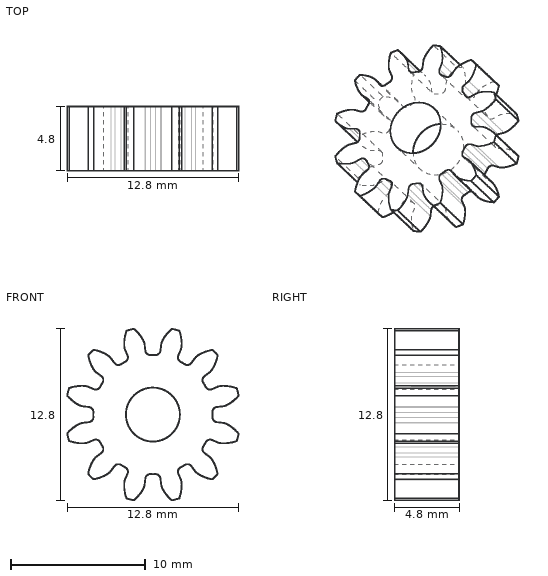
import cadquery as cq
import math

outer_width = 12.76
face_width = 4.8
bore_diameter = 4.0
tooth_count = 12
pressure_angle = math.radians(20)
addendum_factor = 1.0
dedendum_factor = 1.25
root_fillet_radius = 0.36
flank_samples = 7


def involute(angle):
    """Polar angle swept by an involute at the given pressure angle."""
    return math.tan(angle) - angle


tooth_pitch = 2 * math.pi / tooth_count
base_half_angle = tooth_pitch / 4 + involute(pressure_angle)
tip_pressure_angle = math.acos(
    tooth_count * math.cos(pressure_angle) / (tooth_count + 2 * addendum_factor)
)
tip_half_angle = base_half_angle - involute(tip_pressure_angle)

tip_radius = outer_width / 2 / math.cos(tooth_pitch / 2 - tip_half_angle)
module = tip_radius / (tooth_count / 2 + addendum_factor)
pitch_radius = module * tooth_count / 2
base_radius = pitch_radius * math.cos(pressure_angle)
root_radius = pitch_radius - dedendum_factor * module


def polar(radius, angle):
    return (radius * math.cos(angle), radius * math.sin(angle))


def flank(center_angle, side):
    """Involute points from base circle to tip; side is -1 or +1."""
    points = []
    for i in range(flank_samples):
        roll = math.tan(tip_pressure_angle) * i / (flank_samples - 1)
        local_angle = math.atan(roll)
        half_angle = base_half_angle - involute(local_angle)
        points.append(polar(base_radius / math.cos(local_angle), center_angle + side * half_angle))
    return points


def end_tangents(center_angle, side):
    """Outward flank directions at the base circle, where it is radial, and at the tip."""
    tip_roll = math.tan(tip_pressure_angle)
    base_angle = center_angle + side * base_half_angle
    return [polar(1, base_angle), polar(1, base_angle - side * tip_roll)]


def gear_outline():
    """Teeth with involute flanks, radial lower flanks and arc tips and roots."""
    first_center = tooth_pitch / 2
    outline = cq.Workplane("XZ").moveTo(*polar(root_radius, first_center - base_half_angle))
    for tooth in range(tooth_count):
        center = first_center + tooth * tooth_pitch
        rising = flank(center, -1)
        rising_tangents = end_tangents(center, -1)
        falling = flank(center, 1)[::-1]
        falling_tangents = [(-x, -z) for x, z in end_tangents(center, 1)[::-1]]
        next_root = polar(root_radius, center + tooth_pitch - base_half_angle)
        outline = (
            outline.lineTo(*rising[0])
            .spline(rising[1:], tangents=rising_tangents, includeCurrent=True)
            .threePointArc(polar(tip_radius, center), falling[0])
            .spline(falling[1:], tangents=falling_tangents, includeCurrent=True)
            .lineTo(*polar(root_radius, center + base_half_angle))
            .threePointArc(polar(root_radius, center + tooth_pitch / 2), next_root)
        )
    return outline.close()


gear = gear_outline().extrude(face_width).translate((0, face_width / 2, 0))

root_limit = (root_radius + base_radius) / 2
root_edges = [
    edge
    for edge in gear.edges("|Y").vals()
    if math.hypot(edge.Center().x, edge.Center().z) < root_limit
]
gear = gear.newObject(root_edges).fillet(root_fillet_radius)

bore = cq.Workplane("XZ").circle(bore_diameter / 2).extrude(face_width, both=True)
result = gear.cut(bore)